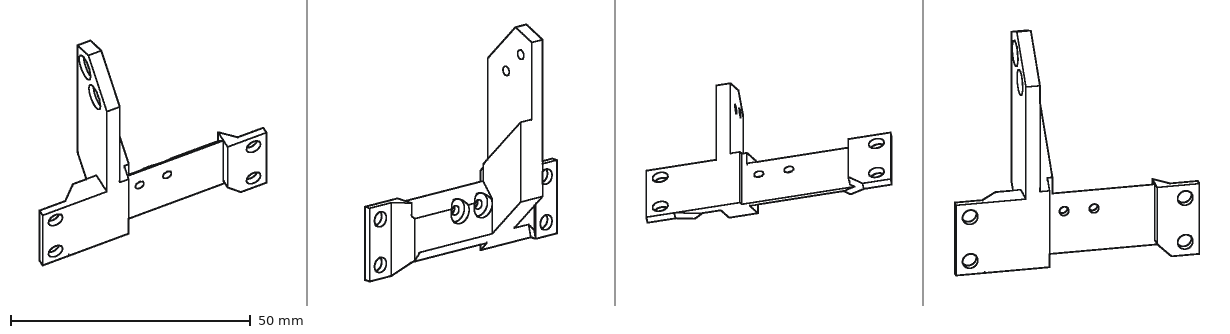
import cadquery as cq
import math

depth = 14.0
length = 52.0
height = 50.35

bar_height = 16.0
bar_front = 9.0
flange_thickness = 1.5
flange_front = depth - flange_thickness
flange_length = 6.0
wing_run = flange_front - bar_front

plate_start = 14.9
plate_step = 17.95
plate_end = 21.05
step_height = 31.4
peak_x = 5.2
peak_slope = math.radians(22.5)
plate_left_height = height - peak_x * math.tan(peak_slope)
plate_right_height = height - (depth - peak_x)

relief_front = 11.9
relief_start = 19.95
relief_end = 42.95
bevel_top = 15.85
bevel_bottom = 12.65
bevel_slope = (bevel_top - bevel_bottom) / (relief_front - bar_front)

screw_diameter = 2.0
plate_bore_diameter = 5.4
plate_bore_depth = 1.05
plate_holes = [(3.55, 44.7), (8.15, 40.1)]
bar_bore_diameter = 5.0
bar_bore_depth = 1.5
bar_hole_z = 11.55
bar_hole_ys = [23.55, 29.95]
flange_hole_diameter = 3.2
flange_hole_inset = 3.0

margin = 0.5


def extrude_y(points, start, end):
    """Extrude an XZ outline between two Y positions."""
    return cq.Workplane("XZ", origin=(0, start, 0)).polyline(points).close().extrude(start - end)


def extrude_x(points, start, end):
    """Extrude a YZ outline between two X positions."""
    return cq.Workplane("YZ", origin=(start, 0, 0)).polyline(points).close().extrude(end - start)


def cylinder_x(diameter, start, end, y, z):
    """Cylinder along X."""
    return cq.Workplane("YZ", origin=(start, y, z)).circle(diameter / 2).extrude(end - start)


def cylinder_y(diameter, start, end, x, z):
    """Cylinder along Y."""
    return cq.Workplane("XZ", origin=(x, start, z)).circle(diameter / 2).extrude(start - end)


def make_bar():
    outline = [
        (depth, 0),
        (flange_front, 0),
        (flange_front, flange_length),
        (bar_front, flange_length + wing_run),
        (bar_front, length - flange_length - wing_run),
        (flange_front, length - flange_length),
        (flange_front, length),
        (depth, length),
    ]
    bar = cq.Workplane("XY").polyline(outline).close().extrude(bar_height)

    bevel = [
        (bar_front - margin, bevel_bottom - margin * bevel_slope),
        (relief_front + margin, bevel_top + margin * bevel_slope),
        (bar_front - margin, bevel_top + margin * bevel_slope),
    ]
    bar = bar.cut(extrude_y(bevel, plate_end, relief_end))

    slope = [(0, 0), (depth, 0), (0, depth)]
    slope_span = [
        (flange_length, 0),
        (length - flange_length, 0),
        (length - flange_length - depth, depth),
        (flange_length + depth, depth),
    ]
    return bar.cut(extrude_y(slope, 0, length).intersect(extrude_x(slope_span, 0, depth)))


def make_plate():
    outline = [
        (0, depth),
        (depth, 0),
        (depth, plate_right_height),
        (peak_x, height),
        (0, plate_left_height),
    ]
    plate = extrude_y(outline, plate_start, plate_end)

    step = [
        (0, step_height),
        (depth, step_height - depth),
        (depth, height),
        (0, height),
    ]
    return plate.cut(extrude_y(step, plate_step, plate_end))


def make_back_relief():
    """Pocket behind the bar; its far lower corner follows the underside wall."""
    wall_foot = length - flange_length
    outline = [
        (relief_start, 0),
        (wall_foot, 0),
        (relief_end, wall_foot - relief_end),
        (relief_end, step_height),
        (relief_start, step_height),
    ]
    relief = extrude_x(outline, relief_front, depth)
    top_trim = cq.Workplane("XY").box(
        depth, relief_end - plate_end, bar_height, centered=False
    )
    return relief.union(top_trim.translate((0, plate_end, bevel_top)))


result = make_bar().union(make_plate()).cut(make_back_relief())

for x, z in plate_holes:
    result = result.cut(cylinder_y(screw_diameter, plate_start, plate_step, x, z))
    result = result.cut(
        cylinder_y(plate_bore_diameter, plate_start, plate_start + plate_bore_depth, x, z)
    )

for y in bar_hole_ys:
    result = result.cut(cylinder_x(screw_diameter, bar_front, depth, y, bar_hole_z))
    result = result.cut(
        cylinder_x(bar_bore_diameter, bar_front, bar_front + bar_bore_depth, y, bar_hole_z)
    )

for y in (flange_hole_inset, length - flange_hole_inset):
    for z in (flange_hole_inset, bar_height - flange_hole_inset):
        result = result.cut(cylinder_x(flange_hole_diameter, flange_front, depth, y, z))